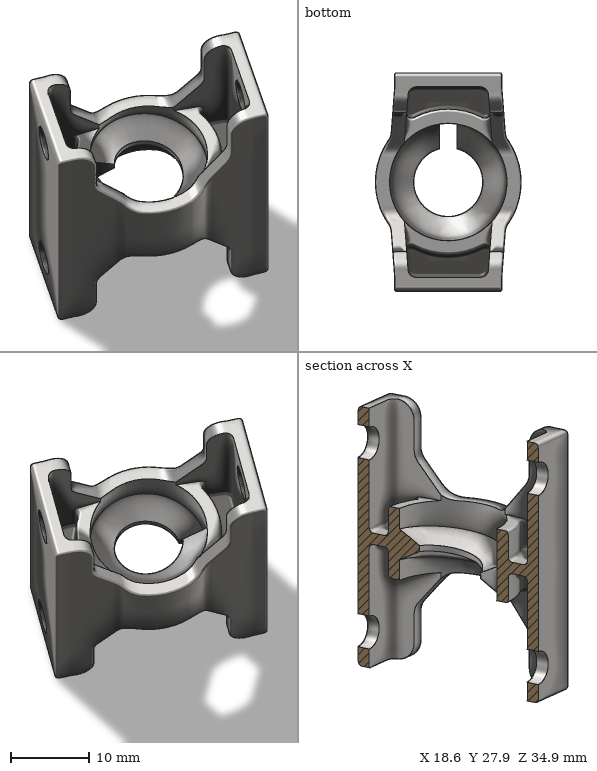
import cadquery as cq
import math

DEPTH = 27.94
HEIGHT = 34.92
BARREL_RADIUS = 9.32
PLATE_WIDTH = 13.72
WALL = 1.78

FLARE_ANGLE = 4.3
FLARE_START_Y = 12.05
FLARE_BEND_RADIUS = 5.7
BARREL_BLEND_RADIUS = 2.0

FLANGE_TIP_Y = 8.9
FLANGE_SLOPE_ANGLE = 49.0
FLANGE_SLOPE_TOP_Z = 10.12
WAIST_HEIGHT = 9.68
PROFILE_RADIUS = 2.54

BORE_RADIUS = 7.5
THREAD_CREST_RADIUS = 4.4
THREAD_PITCH = 5.08
THREAD_CREST_HEIGHT = 0.8
THREAD_ROOT_HEIGHT = 4.14
THREAD_EMBEDMENT = 0.5
KEY_SLOT_WIDTH = 2.2

WEB_THICKNESS = 1.6

MOUNT_HOLE_DIAMETER = 4.4
MOUNT_HOLE_SPACING = 25.4

PLATE_END_RADIUS = 0.64
OUTER_EDGE_RADIUS = 0.3
POCKET_CORNER_RADIUS = 1.1
POCKET_FLOOR_RADIUS = 0.58
BARREL_CORNER_RADIUS = 0.65
BARREL_RIM_RADIUS = 0.45

HALF_DEPTH = DEPTH / 2
HALF_HEIGHT = HEIGHT / 2
HALF_WAIST = WAIST_HEIGHT / 2
HALF_WEB = WEB_THICKNESS / 2
PLATE_INNER_Y = HALF_DEPTH - WALL
FLARE = math.tan(math.radians(FLARE_ANGLE))


def wall_outer_x(y):
    """Outer face of the flared side wall at a distance y from the middle."""
    return PLATE_WIDTH / 2 + FLARE * (FLARE_START_Y - y)


def wall_inner_x(y):
    """Inner face of the side wall, parallel to the outer face."""
    return wall_outer_x(y) - WALL / math.cos(math.radians(FLARE_ANGLE))


def cylinder(radius, bottom, top):
    return cq.Workplane("XY").workplane(offset=bottom).circle(radius).extrude(top - bottom)


def outer_column():
    """Full-height column: two plates flaring into the round barrel."""
    bend_length = FLARE_BEND_RADIUS * math.tan(math.radians(FLARE_ANGLE / 2))
    bend_start_y = FLARE_START_Y + bend_length
    bend_end_y = FLARE_START_Y - bend_length * math.cos(math.radians(FLARE_ANGLE))
    quarter = (
        cq.Workplane("XY")
        .moveTo(0, 0)
        .lineTo(0, HALF_DEPTH)
        .lineTo(PLATE_WIDTH / 2, HALF_DEPTH)
        .lineTo(PLATE_WIDTH / 2, bend_start_y)
        .tangentArcPoint((wall_outer_x(bend_end_y), bend_end_y), relative=False)
        .lineTo(wall_outer_x(0), 0)
        .close()
        .extrude(HALF_HEIGHT, both=True)
    )
    half = quarter.union(quarter.mirror("YZ"))
    column = half.union(half.mirror("XZ")).union(cylinder(BARREL_RADIUS, -HALF_HEIGHT, HALF_HEIGHT))
    barrel_corners = column.edges("|Z").filter(lambda edge: 1.0 < abs(edge.Center().y) < FLANGE_TIP_Y)
    return barrel_corners.fillet(BARREL_BLEND_RADIUS)


def waist_cut():
    """Funnel-shaped opening above the waist, running through along X."""
    slope_run = (FLANGE_SLOPE_TOP_Z - HALF_WAIST) / math.tan(math.radians(FLANGE_SLOPE_ANGLE))
    waist_y = FLANGE_TIP_Y - slope_run
    opening = (
        cq.Workplane("YZ")
        .polyline([
            (-waist_y, HALF_WAIST),
            (waist_y, HALF_WAIST),
            (FLANGE_TIP_Y, FLANGE_SLOPE_TOP_Z),
            (FLANGE_TIP_Y, HALF_HEIGHT),
            (-FLANGE_TIP_Y, HALF_HEIGHT),
            (-FLANGE_TIP_Y, FLANGE_SLOPE_TOP_Z),
        ])
        .close()
        .extrude(2 * BARREL_RADIUS, both=True)
    )
    return opening.edges("|X and (not >Z)").fillet(PROFILE_RADIUS)


def outer_body():
    """Column with the waist openings, flange tips and outer edges rounded."""
    body = outer_column()
    opening = waist_cut()
    body = body.cut(opening).cut(opening.mirror("XY"))

    x_edges = body.edges("|X")
    body = x_edges.filter(
        lambda edge: abs(edge.Center().z) > HALF_HEIGHT - 0.01 and abs(edge.Center().y) < HALF_DEPTH - 1
    ).fillet(PROFILE_RADIUS)
    body = body.edges("|X and (>Y or <Y)").fillet(PLATE_END_RADIUS)

    def on_outer_side(edge):
        along_z = edge.geomType() == "LINE" and abs(edge.tangentAt(0).z) > 0.999
        at_plate_face = abs(edge.Center().y) > HALF_DEPTH - 0.01
        flange_tip = abs(abs(edge.Center().y) - FLANGE_TIP_Y) < 0.01
        return abs(edge.Center().x) > PLATE_WIDTH / 2 - 0.1 and (not along_z or at_plate_face or flange_tip)

    return body.edges().filter(on_outer_side).fillet(OUTER_EDGE_RADIUS)


def channel():
    """Space between the two plates and the two side walls, from z = 0 upwards."""
    half_outline = [
        (-wall_inner_x(0), 0),
        (wall_inner_x(0), 0),
        (wall_inner_x(PLATE_INNER_Y), PLATE_INNER_Y),
        (-wall_inner_x(PLATE_INNER_Y), PLATE_INNER_Y),
    ]
    half = cq.Workplane("XY").polyline(half_outline).close().extrude(HALF_HEIGHT)
    half = half.edges("|Z and >Y").fillet(POCKET_CORNER_RADIUS)
    return half.union(half.mirror("XZ"))


def pocket_cut():
    """Pockets between barrel and plates, from the web up to the rounded barrel rim."""
    slab = cylinder(DEPTH, HALF_WEB, HALF_WAIST)
    pockets = channel().intersect(slab).cut(cylinder(BARREL_RADIUS, 0, HALF_WAIST))
    barrel_corners = pockets.edges("|Z").filter(lambda edge: abs(edge.Center().y) < FLANGE_TIP_Y)
    pockets = barrel_corners.fillet(BARREL_CORNER_RADIUS)
    pockets = pockets.faces("<Z").edges().fillet(POCKET_FLOOR_RADIUS)

    mouth_wires = cylinder(DEPTH, 0, HALF_WAIST).cut(pockets).faces(">Z").wires()
    pierced_slab = mouth_wires.filter(lambda wire: abs(wire.Center().y) > 1.0).edges().fillet(BARREL_RIM_RADIUS)
    return slab.cut(pierced_slab).intersect(channel())


def hollow_out(body):
    """Remove the channels and pockets above and below the web."""
    above_waist = channel().cut(cylinder(DEPTH, 0, HALF_WAIST))
    for cutter in (above_waist, pocket_cut()):
        body = body.cut(cutter).cut(cutter.mirror("XY"))
    return body


def thread_tooth():
    """One right-handed turn of the tooth, parted by the key slot on the -Y side."""
    embedded_radius = BORE_RADIUS + THREAD_EMBEDMENT
    half_crest = THREAD_CREST_HEIGHT / 2
    half_root = THREAD_ROOT_HEIGHT / 2
    helix = cq.Workplane(obj=cq.Wire.makeHelix(THREAD_PITCH, THREAD_PITCH, BORE_RADIUS))
    tooth = (
        cq.Workplane("XZ")
        .polyline([
            (THREAD_CREST_RADIUS, -half_crest),
            (BORE_RADIUS, -half_root),
            (embedded_radius, -half_root),
            (embedded_radius, half_root),
            (BORE_RADIUS, half_root),
            (THREAD_CREST_RADIUS, half_crest),
        ])
        .close()
        .sweep(helix, isFrenet=True)
    )
    tooth = tooth.rotate((0, 0, 0), (0, 0, 1), -90).translate((0, 0, -THREAD_PITCH / 2))
    key_slot = cq.Workplane("XY").center(0, -BORE_RADIUS).rect(KEY_SLOT_WIDTH, BORE_RADIUS)
    return tooth.cut(key_slot.extrude(HALF_HEIGHT, both=True))


def mount_holes():
    return (
        cq.Workplane("XZ")
        .rarray(1, MOUNT_HOLE_SPACING, 1, 2)
        .circle(MOUNT_HOLE_DIAMETER / 2)
        .extrude(DEPTH, both=True)
    )


bore = cylinder(BORE_RADIUS, -HALF_HEIGHT, HALF_HEIGHT)
result = hollow_out(outer_body()).cut(bore)
result = result.union(thread_tooth()).cut(mount_holes())